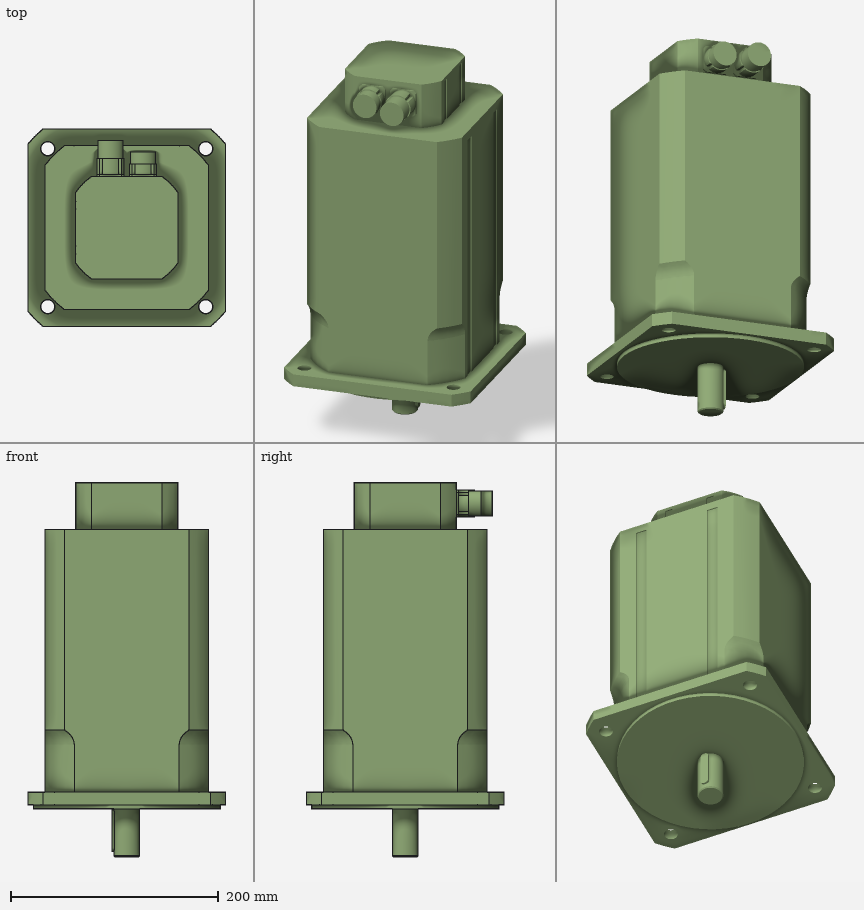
import cadquery as cq
import math

total_height = 360.0
pilot_bottom = 46.0
flange_bottom = 50.0
flange_top = 62.3
housing_top = 315.0

flange_width = 190.0
flange_corner_radius = 124.5
bolt_hole_diameter = 13.5
bolt_hole_offset = 76.0
pilot_diameter = 180.0

housing_width = 157.5
housing_corner_radius = 99.0
cover_width = 98.3
cover_corner_radius = 59.8

relief_radius = 93.5
relief_wall_top = 108.0
relief_top = 122.0
relief_margin = 3.5

groove_depth = 1.0
housing_groove_width = 10.8
housing_groove_offset = 37.5
housing_groove_top = 306.0
cover_groove_width = 7.5
cover_groove_offset = 21.5
cover_groove_top = 356.5

shaft_diameter = 25.0
shaft_tip_chamfer = 1.0
key_width = 8.0
key_bottom = 5.0
key_top = 45.5
key_reach = 14.5

connector_spacing = 31.5
connector_height = 340.0
barrel_diameter = 24.0
collar_diameter = 26.3
plate_width = 26.3
plate_corner_cut = 2.5
plate_thickness = 2.0
notch_inner_offset = 7.5
long_collar_end = 17.3
long_connector_length = 34.5
short_collar_end = 12.0
short_connector_length = 23.8


def rounded_square(width, corner_radius, bottom, top):
    """A square column whose corners are cut by a cylinder about the motor axis."""
    height = top - bottom
    square = cq.Workplane("XY").workplane(offset=bottom).rect(width, width).extrude(height)
    cylinder = cq.Workplane("XY").workplane(offset=bottom).circle(corner_radius).extrude(height)
    return square.intersect(cylinder)


def make_flange():
    plate = rounded_square(flange_width, flange_corner_radius, flange_bottom, flange_top)
    pilot = (
        cq.Workplane("XY")
        .workplane(offset=pilot_bottom)
        .circle(pilot_diameter / 2)
        .extrude(flange_bottom - pilot_bottom)
    )
    bolt_holes = (
        cq.Workplane("XY")
        .workplane(offset=pilot_bottom)
        .rect(2 * bolt_hole_offset, 2 * bolt_hole_offset, forConstruction=True)
        .vertices()
        .circle(bolt_hole_diameter / 2)
        .extrude(flange_top - pilot_bottom)
    )
    return plate.union(pilot).cut(bolt_holes)


def make_corner_relief():
    """A ring around the lower housing; its inner wall curves outward at the top."""
    depth = housing_corner_radius - relief_radius
    rise = relief_top - relief_wall_top
    arc_radius = (depth**2 + rise**2) / (2 * depth)
    half_angle = math.asin(rise / arc_radius) / 2
    arc_middle = (
        relief_radius + arc_radius * (1 - math.cos(half_angle)),
        relief_wall_top + arc_radius * math.sin(half_angle),
    )
    outer_radius = housing_corner_radius + relief_margin
    return (
        cq.Workplane("XZ")
        .moveTo(relief_radius, flange_top)
        .lineTo(relief_radius, relief_wall_top)
        .threePointArc(arc_middle, (housing_corner_radius, relief_top))
        .lineTo(outer_radius, relief_top)
        .lineTo(outer_radius, flange_top)
        .close()
        .revolve(360, (0, 0), (0, 1))
    )


def make_grooves(face_width, offset, width, bottom, top):
    """A pair of grooves in the -X face, one on each side of the middle."""
    return (
        cq.Workplane("XY")
        .workplane(offset=bottom)
        .pushPoints([(-face_width / 2, -offset), (-face_width / 2, offset)])
        .rect(2 * groove_depth, width)
        .extrude(top - bottom)
    )


def make_housing():
    housing = rounded_square(housing_width, housing_corner_radius, flange_top, housing_top)
    grooves = make_grooves(
        housing_width, housing_groove_offset, housing_groove_width, flange_top, housing_groove_top
    )
    return housing.cut(make_corner_relief()).cut(grooves)


def make_cover():
    cover = rounded_square(cover_width, cover_corner_radius, housing_top, total_height)
    grooves = make_grooves(
        cover_width, cover_groove_offset, cover_groove_width, housing_top, cover_groove_top
    )
    return cover.cut(grooves)


def make_shaft():
    shaft = (
        cq.Workplane("XY")
        .circle(shaft_diameter / 2)
        .extrude(pilot_bottom)
        .faces("<Z")
        .chamfer(shaft_tip_chamfer)
    )
    key = (
        cq.Workplane("YZ")
        .center(0, (key_bottom + key_top) / 2)
        .slot2D(key_top - key_bottom, key_width, 90)
        .extrude(-key_reach)
    )
    return shaft.union(key)


def make_motor():
    return make_flange().union(make_housing()).union(make_cover()).union(make_shaft())


def make_connector(x, collar_end, length):
    """A round connector with a square base plate and a collar notched at four corners."""
    base = cq.Workplane("XZ", origin=(x, cover_width / 2, connector_height))
    plate = (
        base.rect(plate_width, plate_width)
        .extrude(-plate_thickness)
        .edges("|Y")
        .chamfer(plate_corner_cut)
    )
    notch_centre = notch_inner_offset + collar_diameter / 2
    notches = (
        base.rect(2 * notch_centre, 2 * notch_centre, forConstruction=True)
        .vertices()
        .rect(collar_diameter, collar_diameter)
        .extrude(-collar_end)
    )
    collar = base.circle(collar_diameter / 2).extrude(-collar_end).cut(notches)
    barrel = (
        base.workplane(offset=-collar_end).circle(barrel_diameter / 2).extrude(collar_end - length)
    )
    return plate.union(collar).union(barrel)


motor = make_motor()
connectors = [
    make_connector(x, collar_end, length)
    for x, collar_end, length in [
        (-connector_spacing / 2, long_collar_end, long_connector_length),
        (connector_spacing / 2, short_collar_end, short_connector_length),
    ]
]

result = cq.Compound.makeCompound([motor.val(), *[connector.val() for connector in connectors]])